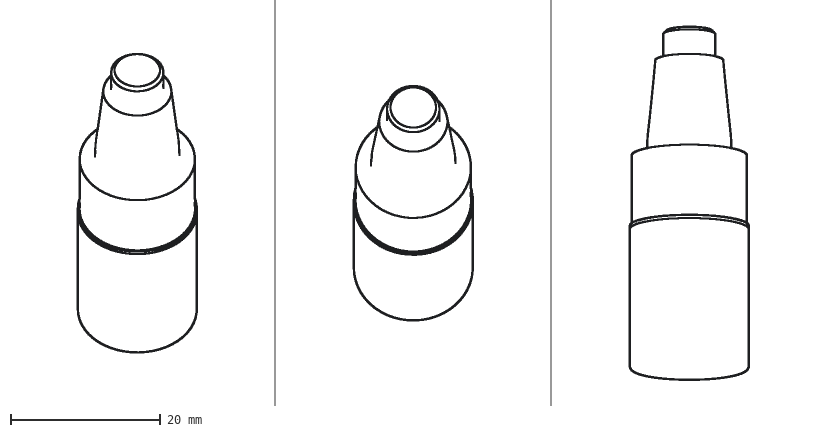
import cadquery as cq
import math

total_height = 46.2
shoulder_z = 29.2
collar_height = 0.45
collar_top_z = 19.6
base_height = collar_top_z - collar_height
tip_length = 4.0

collar_diameter = 16.0
barrel_diameter = 15.5
tip_diameter = 7.0
cone_top_diameter = 9.15
cone_bottom_diameter = 11.2
neck_diameter = 11.35

edge_size = 0.45
neck_blend_height = 2.3


def add_root_fillet(profile, wall_radius, face_z, radius):
    """Continue a profile from a flat face up into a vertical wall through a concave arc."""
    offset = radius * (1 - math.sqrt(0.5))
    return profile.threePointArc(
        (wall_radius + offset, face_z + offset),
        (wall_radius, face_z + radius),
    )


def make_core():
    """Turned core: collar, barrel, tapered neck with a curved foot, and a chamfered tip."""
    collar_radius = collar_diameter / 2
    barrel_radius = barrel_diameter / 2
    neck_radius = neck_diameter / 2
    cone_top_radius = cone_top_diameter / 2
    tip_radius = tip_diameter / 2
    cone_top_z = total_height - tip_length
    blend_start_z = shoulder_z + edge_size

    profile = (
        cq.Workplane("XZ")
        .moveTo(0, base_height)
        .lineTo(collar_radius, base_height)
        .lineTo(collar_radius, collar_top_z)
        .lineTo(barrel_radius, collar_top_z)
        .lineTo(barrel_radius, shoulder_z)
        .lineTo(neck_radius + edge_size, shoulder_z)
    )
    profile = add_root_fillet(profile, neck_radius, shoulder_z, edge_size)
    profile = (
        profile.tangentArcPoint((cone_bottom_diameter / 2, blend_start_z + neck_blend_height), relative=False)
        .lineTo(cone_top_radius, cone_top_z)
        .lineTo(tip_radius + edge_size, cone_top_z)
    )
    profile = add_root_fillet(profile, tip_radius, cone_top_z, edge_size)
    profile = (
        profile.lineTo(tip_radius, total_height - edge_size)
        .lineTo(tip_radius - edge_size, total_height)
        .lineTo(0, total_height)
        .close()
    )
    return profile.revolve(360, (0, 0, 0), (0, 1, 0))


def make_base():
    """Plain cylinder under the collar, rounded at its bottom end."""
    base = cq.Workplane("XY").circle(collar_diameter / 2).extrude(base_height)
    return base.faces("<Z").edges().fillet(edge_size)


core = make_core()
base = make_base()

result = cq.Compound.makeCompound([core.val(), base.val()])